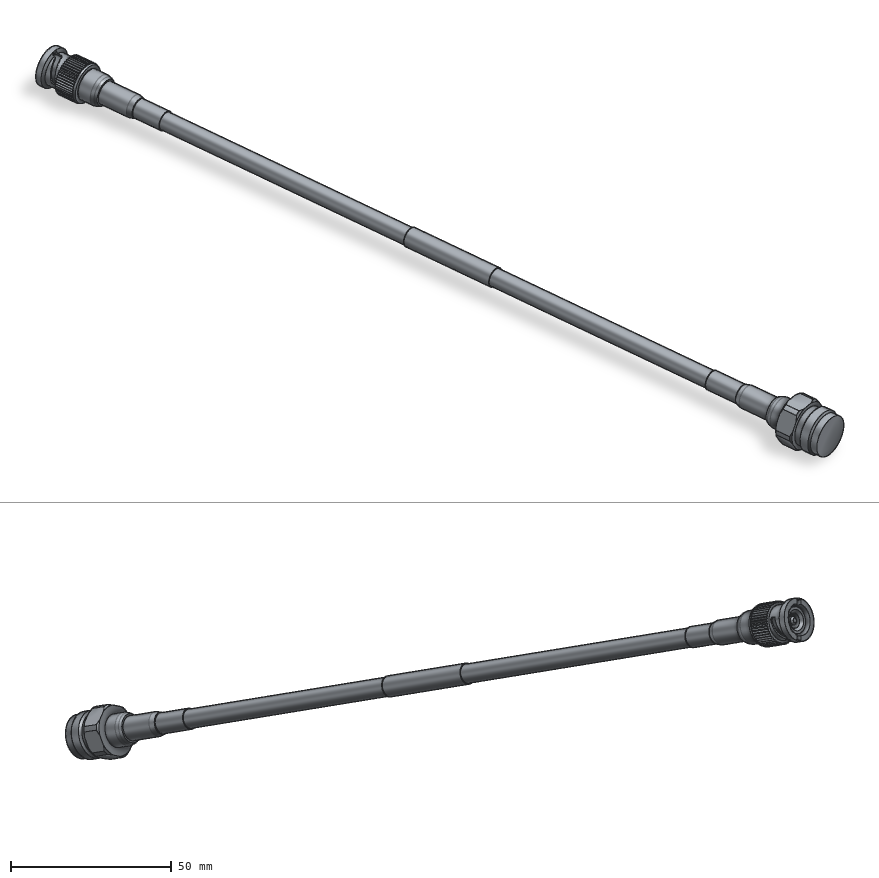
import cadquery as cq
import math

OVERALL_LENGTH = 304.8

BODY_RADIUS = 10.7 / 2
SHOULDER_RADIUS = 10.0 / 2
BODY_END_RADIUS = 9.0 / 2
BODY_END_LENGTH = 1.0
SHOULDER_LENGTH = 1.2
PLUG_BODY_END = 22.2
JACK_BODY_START = 283.0

FERRULE_RADIUS = 4.0
FERRULE_TIP_RADIUS = 7.0 / 2
FERRULE_LENGTH = 12.8
FERRULE_TIP_LENGTH = 1.8
PLUG_FERRULE_END = PLUG_BODY_END + FERRULE_LENGTH
JACK_FERRULE_START = JACK_BODY_START - FERRULE_LENGTH

CABLE_RADIUS = 3.0
SLEEVE_RADIUS = 3.5
SLEEVE_SPANS = [(PLUG_FERRULE_END, 45.5), (140.8, 174.0), (258.5, JACK_FERRULE_START)]

STEM_RADIUS = 4.3
STEM_START = 1.2
STEM_BORE = 2.5
STEM_BORE_CHAMFER = 1.0
STEM_BORE_DEPTH = 6.0

PIN_RADIUS = 1.37
PIN_START = 1.8
PIN_TIP_CHAMFER = 0.5

FLANGE_RADIUS = 13.7 / 2
FLANGE_LENGTH = 2.0
FLANGE_TAPER = 0.5
NECK_RADIUS = 11.3 / 2
NUT_BORE = 10.0 / 2
KNURL_START = 7.5
KNURL_END = 14.3
KNURL_TEETH = 48
KNURL_DEPTH = 0.45
NUT_END = 15.2
NUT_END_RADIUS = 13.0 / 2

SLOT_COUNT = 2
SLOT_WIDTH = 1.8
SLOT_START = 4.0
SLOT_RISE = 1.98
SLOT_TURN = 90.0
SLOT_OUTER_RADIUS = 6.5

HEX_START = 289.5
HEX_END = 296.0
HEX_ACROSS_FLATS = 15.8
HEX_CORNER_RADIUS = 17.5 / 2
HEX_CHAMFER = 0.5
BARREL_NECK_RADIUS = 6.7
BARREL_RADIUS = 7.0
COLLAR_RADIUS = 7.5
COLLAR_START = 298.0
COLLAR_END = 302.3
COLLAR_CHAMFER = COLLAR_RADIUS - BARREL_RADIUS

RIGHT_ANGLE = 90.0
FULL_TURN = 360.0


def cylinder(start, end, radius):
    """Round bar along X."""
    return cq.Workplane("YZ", origin=(start, 0, 0)).circle(radius).extrude(end - start)


def turned(profile):
    """Solid of revolution about X from a closed outline of (x, radius) points."""
    return cq.Workplane("XY").polyline(profile).close().revolve(FULL_TURN, (0, 0, 0), (1, 0, 0))


def make_cable():
    return cylinder(PLUG_BODY_END, JACK_BODY_START, CABLE_RADIUS)


def make_sleeve(start, end):
    return cylinder(start, end, SLEEVE_RADIUS).cut(cylinder(start, end, CABLE_RADIUS))


def make_ferrule(body_face, direction):
    """Tube on the cable, from the body face along the given X direction to a narrower tip."""
    tip = body_face + direction * FERRULE_LENGTH
    shoulder = tip - direction * FERRULE_TIP_LENGTH
    return turned([
        (body_face, CABLE_RADIUS),
        (body_face, FERRULE_RADIUS),
        (shoulder, FERRULE_RADIUS),
        (tip, FERRULE_TIP_RADIUS),
        (tip, CABLE_RADIUS),
    ])


def body_end(face, direction):
    """Outline points of a body's double-chamfered end, from its axis outwards along X."""
    return [
        (face, 0),
        (face, BODY_END_RADIUS),
        (face + direction * BODY_END_LENGTH, SHOULDER_RADIUS),
        (face + direction * (BODY_END_LENGTH + SHOULDER_LENGTH), BODY_RADIUS),
    ]


def make_plug_body():
    """Stepped body whose front part fills the back of the nut and carries a stem with a pin."""
    return turned([
        *body_end(PLUG_BODY_END, -1),
        (NUT_END, BODY_RADIUS),
        (NUT_END, NUT_BORE),
        (KNURL_START, NUT_BORE),
        (KNURL_START, STEM_RADIUS),
        (STEM_START, STEM_RADIUS),
        (STEM_START, STEM_BORE + STEM_BORE_CHAMFER),
        (STEM_START + STEM_BORE_CHAMFER, STEM_BORE),
        (STEM_START + STEM_BORE_DEPTH, STEM_BORE),
        (STEM_START + STEM_BORE_DEPTH, PIN_RADIUS),
        (PIN_START + PIN_TIP_CHAMFER, PIN_RADIUS),
        (PIN_START, PIN_RADIUS - PIN_TIP_CHAMFER),
        (PIN_START, 0),
    ])


def knurled_ring():
    """Ring of straight V-shaped teeth."""
    outline = []
    for step in range(2 * KNURL_TEETH):
        angle = step * math.pi / KNURL_TEETH
        radius = FLANGE_RADIUS - KNURL_DEPTH * (step % 2)
        outline.append((radius * math.cos(angle), radius * math.sin(angle)))
    return (
        cq.Workplane("YZ", origin=(KNURL_START, 0, 0))
        .polyline(outline).close().extrude(KNURL_END - KNURL_START)
    )


def bayonet_slot():
    """Straight entry at +Z, then a helical run that ends in a round seat at -Y."""
    depth = SLOT_OUTER_RADIUS - STEM_RADIUS
    middle_radius = (SLOT_OUTER_RADIUS + STEM_RADIUS) / 2
    entry = cq.Workplane("XY").box(
        SLOT_START, SLOT_WIDTH, SLOT_OUTER_RADIUS, centered=(False, True, False)
    )
    entry_end = (
        cq.Workplane("XY").center(SLOT_START, 0).circle(SLOT_WIDTH / 2).extrude(SLOT_OUTER_RADIUS)
    )
    helix = cq.Wire.makeHelix(SLOT_RISE * FULL_TURN / SLOT_TURN, SLOT_RISE, middle_radius)
    run = (
        cq.Workplane("XZ").center(middle_radius, 0).rect(depth, SLOT_WIDTH)
        .sweep(cq.Workplane(obj=helix), isFrenet=True)
        .rotate((0, 0, 0), (0, 1, 0), RIGHT_ANGLE)
        .rotate((0, 0, 0), (1, 0, 0), 2 * RIGHT_ANGLE)
        .translate((SLOT_START, 0, 0))
    )
    seat = (
        cq.Workplane("XZ").center(SLOT_START + SLOT_RISE, 0)
        .circle(SLOT_WIDTH / 2).extrude(SLOT_OUTER_RADIUS)
    )
    return entry.union(entry_end).union(run).union(seat)


def make_coupling_nut():
    """Flanged and knurled nut, tapered at its rear, with two bayonet slots in its neck."""
    nut = turned([
        (0, 0),
        (0, FLANGE_RADIUS),
        (FLANGE_LENGTH, FLANGE_RADIUS),
        (FLANGE_LENGTH + FLANGE_TAPER, NECK_RADIUS),
        (KNURL_END, NECK_RADIUS),
        (KNURL_END, FLANGE_RADIUS),
        (NUT_END, NUT_END_RADIUS),
        (NUT_END, 0),
    ])
    nut = nut.union(knurled_ring()).cut(cylinder(0, NUT_END, NUT_BORE))
    slot = bayonet_slot()
    for index in range(SLOT_COUNT):
        nut = nut.cut(slot.rotate((0, 0, 0), (1, 0, 0), index * FULL_TURN / SLOT_COUNT))
    return nut


def jack_hexagon():
    """Hexagon with flats at +Z and -Z, its corners turned round and chamfered at both ends."""
    corner_diameter = HEX_ACROSS_FLATS / math.cos(math.pi / 6)
    hexagon = (
        cq.Workplane("YZ", origin=(HEX_START, 0, 0))
        .polygon(6, corner_diameter).extrude(HEX_END - HEX_START)
    )
    envelope = cylinder(HEX_START, HEX_END, HEX_CORNER_RADIUS).faces("<X or >X").chamfer(HEX_CHAMFER)
    return hexagon.intersect(envelope)


def make_jack_body():
    shaft = turned([
        *body_end(JACK_BODY_START, 1),
        (HEX_END, BODY_RADIUS),
        (HEX_END, BARREL_NECK_RADIUS),
        (COLLAR_START, BARREL_NECK_RADIUS),
        (COLLAR_START + COLLAR_CHAMFER, COLLAR_RADIUS),
        (COLLAR_END - COLLAR_CHAMFER, COLLAR_RADIUS),
        (COLLAR_END, BARREL_RADIUS),
        (OVERALL_LENGTH, BARREL_RADIUS),
        (OVERALL_LENGTH, 0),
    ])
    return shaft.union(jack_hexagon())


cable = make_cable()
sleeves = [make_sleeve(start, end) for start, end in SLEEVE_SPANS]
plug_ferrule = make_ferrule(PLUG_BODY_END, 1)
jack_ferrule = make_ferrule(JACK_BODY_START, -1)
plug_body = make_plug_body()
coupling_nut = make_coupling_nut()
jack_body = make_jack_body()

result = cq.Compound.makeCompound([
    cable.val(),
    *[sleeve.val() for sleeve in sleeves],
    plug_ferrule.val(),
    jack_ferrule.val(),
    plug_body.val(),
    coupling_nut.val(),
    jack_body.val(),
])